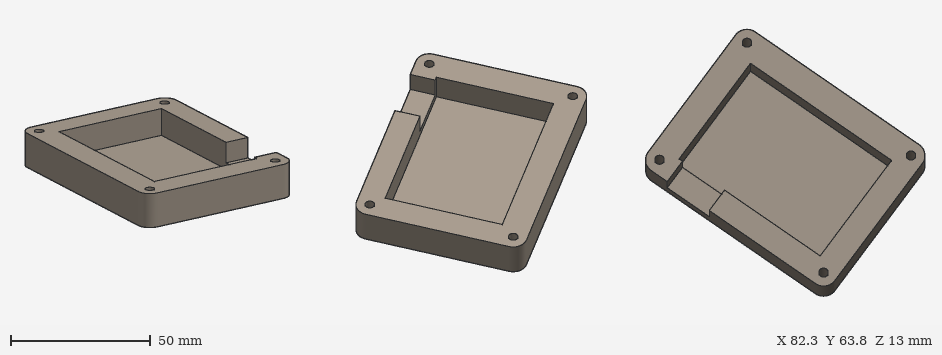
import cadquery as cq

length = 82.3
width = 63.8
height = 13.0
corner_radius = 5.0

pocket_length = 62.1
pocket_width = 43.85
pocket_depth = 10.2
pocket_right_margin = 10.5
pocket_front_margin = 10.5

notch_length = 18.5
notch_depth = 7.8
notch_right_margin = 12.0

hole_diameter = 3.4
hole_inset = corner_radius


def block(x_min, x_max, y_min, y_max, z_min, z_max):
    """Axis-aligned box between the given limits."""
    size = (x_max - x_min, y_max - y_min, z_max - z_min)
    return cq.Workplane("XY").box(*size, centered=False).translate((x_min, y_min, z_min))


def make_body():
    """Plate centred on the Z axis, resting on Z = 0, with rounded vertical edges."""
    plate = cq.Workplane("XY").box(length, width, height, centered=(True, True, False))
    return plate.edges("|Z").fillet(corner_radius)


pocket_right = length / 2 - pocket_right_margin
pocket_left = pocket_right - pocket_length
pocket_front = -width / 2 + pocket_front_margin
pocket_rear = pocket_front + pocket_width
pocket = block(pocket_left, pocket_right, pocket_front, pocket_rear, height - pocket_depth, height)

notch_right = length / 2 - notch_right_margin
notch_left = notch_right - notch_length
notch_front = (pocket_front + pocket_rear) / 2
notch = block(notch_left, notch_right, notch_front, width / 2, height - notch_depth, height)

holes = (
    cq.Workplane("XY")
    .rect(length - 2 * hole_inset, width - 2 * hole_inset, forConstruction=True)
    .vertices()
    .circle(hole_diameter / 2)
    .extrude(height)
)

result = make_body().cut(pocket).cut(notch).cut(holes)